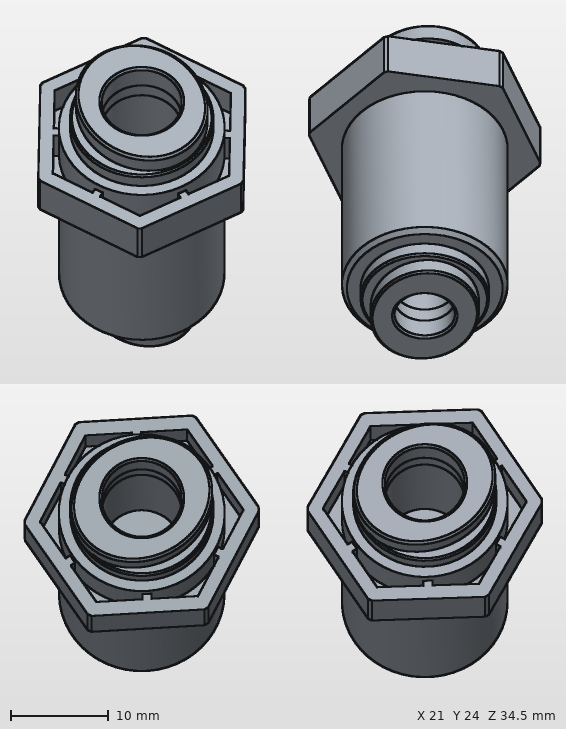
import cadquery as cq


barrel_diameter = 17.0
barrel_length = 25.9
barrel_chamfer = 0.5

flange_across_flats = 21.0
flange_corner_diameter = 24.0
flange_height = 5.03
flange_setback = 0.95
flange_wall = 1.48
rib_width = 0.93
rib_count = 6

upper_bore_diameter = 8.2
upper_cap_diameter = 14.7
upper_cap_height = 1.72
upper_neck_diameter = 9.6
upper_neck_height = 0.83
upper_head_height = 2.05
upper_head_size_x = 15.0
upper_head_size_y = 13.02
upper_head_chamfer = 0.28

lower_bore_diameter = 6.2
lower_cap_diameter = 13.15
lower_cap_height = 1.6
lower_neck_diameter = 7.5
lower_neck_height = 0.65
lower_head_height = 1.7
lower_head_size_x = 13.0
lower_head_size_y = 11.02
lower_head_chamfer = 0.2

cap_chamfer = 0.2
bore_chamfer = 0.25
web_thickness = 3.45

lower_cap_bottom = lower_head_height + lower_neck_height
barrel_bottom = lower_cap_bottom + lower_cap_height
barrel_top = barrel_bottom + barrel_length
upper_cap_top = barrel_top + upper_cap_height
flange_top = barrel_top - flange_setback
bore_depth = (barrel_length - web_thickness) / 2


def hexagon(across_flats, height):
    """Hexagonal prism with flats facing +X and -X, standing on z = 0."""
    return cq.Workplane("XY").polygon(6, across_flats, circumscribed=True).extrude(height)


def cylinder(diameter, height):
    """Cylinder on the Z axis, standing on z = 0."""
    return cq.Workplane("XY").circle(diameter / 2).extrude(height)


def make_flange():
    """Hexagonal flange, its corners trimmed by a cylinder, with ribbed pockets open at the top."""
    blank = hexagon(flange_across_flats, flange_height)
    blank = blank.intersect(cylinder(flange_corner_diameter, flange_height))

    pocket_depth = flange_height - flange_wall
    pockets = hexagon(flange_across_flats - 2 * flange_wall, pocket_depth)
    pockets = pockets.cut(cylinder(barrel_diameter, pocket_depth))
    for rib_index in range(rib_count):
        rib = cq.Workplane("XY").box(
            flange_across_flats / 2, rib_width, pocket_depth, centered=(False, True, False)
        )
        pockets = pockets.cut(rib.rotate((0, 0, 0), (0, 0, 1), rib_index * 360 / rib_count))

    flange = blank.cut(pockets.translate((0, 0, flange_wall)))
    return flange.translate((0, 0, flange_top - flange_height))


def make_housing():
    """Barrel and flange in one piece, with a blind bore from each end."""
    barrel = cylinder(barrel_diameter, barrel_length).faces("<Z").chamfer(barrel_chamfer)
    housing = barrel.translate((0, 0, barrel_bottom)).union(make_flange())
    upper_bore = cylinder(upper_bore_diameter, bore_depth)
    lower_bore = cylinder(lower_bore_diameter, bore_depth)
    housing = housing.cut(upper_bore.translate((0, 0, barrel_top - bore_depth)))
    return housing.cut(lower_bore.translate((0, 0, barrel_bottom)))


def make_cap(diameter, height, bore_diameter):
    """Ring standing on z = 0, chamfered around its outer upper edge."""
    cap = cylinder(diameter, height).faces(">Z").chamfer(cap_chamfer)
    return cap.cut(cylinder(bore_diameter, height))


def make_collar(
    neck_diameter, neck_height, head_size_x, head_size_y, head_height, head_chamfer, bore_diameter
):
    """Round neck standing on z = 0 below an elliptical head, with a bore through both."""
    head = cq.Workplane("XY").ellipse(head_size_x / 2, head_size_y / 2).extrude(head_height)
    head = head.faces(">Z").chamfer(head_chamfer)
    collar = cylinder(neck_diameter, neck_height).union(head.translate((0, 0, neck_height)))
    collar = collar.cut(cylinder(bore_diameter, neck_height + head_height))
    return collar.faces(">Z").edges("%CIRCLE").chamfer(bore_chamfer)


def face_down(body):
    """Turn a body that stands on z = 0 so that it hangs below z = 0."""
    return body.rotate((0, 0, 0), (1, 0, 0), 180)


housing = make_housing()

upper_cap = make_cap(upper_cap_diameter, upper_cap_height, upper_bore_diameter)
upper_cap = upper_cap.translate((0, 0, barrel_top))

lower_cap = face_down(make_cap(lower_cap_diameter, lower_cap_height, lower_bore_diameter))
lower_cap = lower_cap.translate((0, 0, barrel_bottom))

upper_collar = make_collar(
    upper_neck_diameter,
    upper_neck_height,
    upper_head_size_x,
    upper_head_size_y,
    upper_head_height,
    upper_head_chamfer,
    upper_bore_diameter,
).translate((0, 0, upper_cap_top))

lower_collar = face_down(
    make_collar(
        lower_neck_diameter,
        lower_neck_height,
        lower_head_size_x,
        lower_head_size_y,
        lower_head_height,
        lower_head_chamfer,
        lower_bore_diameter,
    )
).translate((0, 0, lower_cap_bottom))

result = cq.Compound.makeCompound(
    [housing.val(), upper_cap.val(), lower_cap.val(), upper_collar.val(), lower_collar.val()]
)